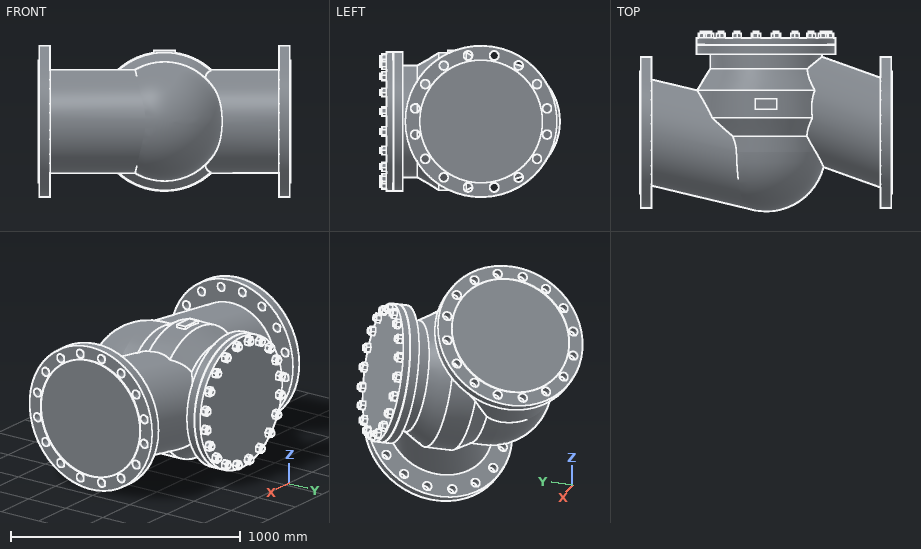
import cadquery as cq
import math

length = 1100.0
flange_radius = 330.0
flange_thickness = 52.0
raised_face_height = 4.0
raised_face_radius = 267.0
flange_hole_count = 16
flange_hole_circle_radius = 293.0
flange_hole_diameter = 38.0

pipe_radius = 225.0
inlet_angle = 13.4
outlet_angle = 19.7

bowl_radius = 260.0
bowl_center_y = -85.0
shoulder_y = -15.0
drum_radius = 300.0
drum_bottom_y = 64.0
drum_top_y = 184.0
neck_radius = 244.0
neck_bottom_y = 277.0

cover_radius = 304.0
cover_bottom_y = 341.0
cover_top_y = 412.0
gasket_y = 382.0
gasket_radius = 268.0
gasket_thickness = 2.0
bolt_count = 20
bolt_circle_radius = 278.0
stud_diameter = 24.0
stud_height = 29.0
nut_across_flats = 36.0
nut_height = 20.0

plate_length = 96.0
plate_width = 45.0
plate_top_z = 309.0


def make_body():
    profile = (
        cq.Workplane("XY")
        .moveTo(0, bowl_center_y - bowl_radius)
        .radiusArc((bowl_radius, bowl_center_y), -bowl_radius)
        .lineTo(bowl_radius, shoulder_y)
        .lineTo(drum_radius, drum_bottom_y)
        .lineTo(drum_radius, drum_top_y)
        .lineTo(neck_radius, neck_bottom_y)
        .lineTo(neck_radius, cover_bottom_y)
        .lineTo(cover_radius, cover_bottom_y)
        .lineTo(cover_radius, gasket_y - gasket_thickness / 2)
        .lineTo(gasket_radius, gasket_y - gasket_thickness / 2)
        .lineTo(gasket_radius, gasket_y + gasket_thickness / 2)
        .lineTo(cover_radius, gasket_y + gasket_thickness / 2)
        .lineTo(cover_radius, cover_top_y)
        .lineTo(0, cover_top_y)
        .close()
    )
    return profile.revolve(360, (0, 0, 0), (0, 1, 0))


def make_pipe(side, angle):
    """Pipe from the flange on the given side (-1 or +1 in X) to the middle of the body.

    A positive angle makes the pipe rise in Y toward the body.
    """
    run = length / 2 - flange_thickness
    slope = math.radians(angle)
    overlap = pipe_radius
    inward = cq.Vector(-side * math.cos(slope), math.sin(slope), 0)
    start = cq.Vector(side * run, 0, 0) - inward * overlap
    pipe = cq.Solid.makeCylinder(pipe_radius, run / math.cos(slope) + overlap, start, inward)
    keep = cq.Workplane("XY").box(2 * run, length, length)
    return keep.intersect(cq.Workplane(obj=pipe))


def make_flange(side):
    back = cq.Workplane("YZ", origin=(side * (length / 2 - flange_thickness), 0, 0))
    disc = back.circle(flange_radius).extrude(side * (flange_thickness - raised_face_height))
    raised_face = back.circle(raised_face_radius).extrude(side * flange_thickness)
    holes = (
        back.polarArray(flange_hole_circle_radius, 180 / flange_hole_count, 360, flange_hole_count)
        .circle(flange_hole_diameter / 2)
        .extrude(side * flange_thickness)
    )
    return disc.union(raised_face).cut(holes)


def make_bolts():
    across_corners = nut_across_flats / math.cos(math.pi / 6)
    nut = cq.Workplane("XZ").polygon(6, across_corners).extrude(-nut_height)
    stud = cq.Workplane("XZ").circle(stud_diameter / 2).extrude(-stud_height)
    bolt = nut.union(stud).rotate((0, 0, 0), (0, 1, 0), 30)
    bolt = bolt.translate((bolt_circle_radius, cover_top_y, 0))
    bolts = cq.Workplane("XY")
    for index in range(bolt_count):
        angle = (index + 0.5) * 360 / bolt_count
        bolts = bolts.add(bolt.rotate((0, 0, 0), (0, 1, 0), angle))
    return bolts.combine()


def make_plate():
    return (
        cq.Workplane("XY", origin=(0, (drum_bottom_y + drum_top_y) / 2, 0))
        .rect(plate_length, plate_width)
        .extrude(plate_top_z)
    )


result = (
    make_body()
    .union(make_pipe(-1, -inlet_angle))
    .union(make_pipe(1, outlet_angle))
    .union(make_flange(-1))
    .union(make_flange(1))
    .union(make_bolts())
    .union(make_plate())
)